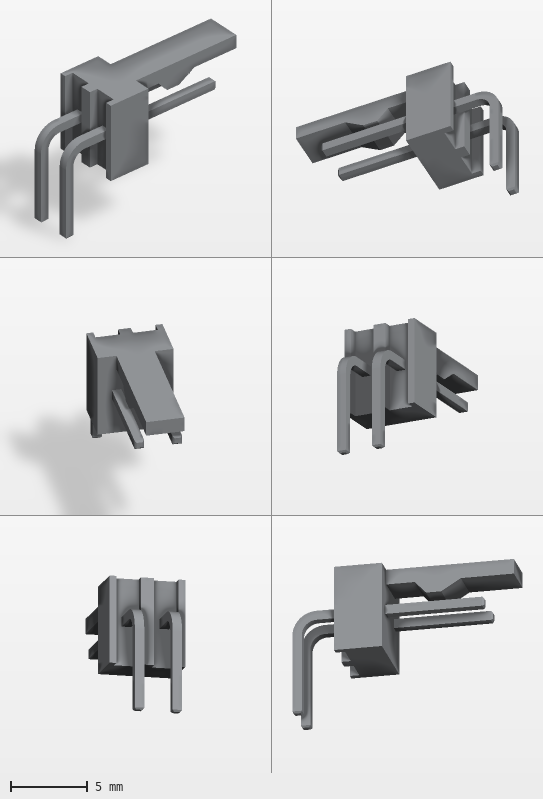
import cadquery as cq


pin_pitch = 2.54
pin_count = 2
pin_width = 0.63
pin_tip_chamfer = 0.12
contact_length = 6.6
pin_axis_height = 2.95
bend_outer_radius = 1.62
tail_drop = 3.79
tail_reach = 3.0

housing_width = 5.09
housing_depth = 3.2
housing_height = 5.85
groove_depth = 0.63
side_rib_width = 0.45
middle_rib_width = 0.85
groove_width = (housing_width - middle_rib_width) / 2 - side_rib_width
groove_offset = (middle_rib_width + groove_width) / 2

overall_length = 14.74
latch_length = overall_length - housing_depth - tail_reach
latch_width = 2.56
latch_thickness = 1.03
bump_drop = 0.81
bump_root_near = 1.9
bump_crest_near = 2.67
bump_crest_far = 3.67
bump_root_far = 4.98

groove_floor_y = groove_depth - housing_depth
pin_positions = [(i - (pin_count - 1) / 2) * pin_pitch for i in range(pin_count)]


def make_latch():
    """Latch arm with its locking bump, extruded evenly about X = 0."""
    underside = housing_height - latch_thickness
    crest = underside - bump_drop
    return (
        cq.Workplane("YZ")
        .moveTo(-groove_depth, housing_height)
        .lineTo(latch_length, housing_height)
        .lineTo(latch_length, underside)
        .lineTo(bump_root_far, underside)
        .lineTo(bump_crest_far, crest)
        .lineTo(bump_crest_near, crest)
        .lineTo(bump_root_near, underside)
        .lineTo(-groove_depth, underside)
        .close()
        .extrude(latch_width / 2, both=True)
    )


def make_housing():
    """Block with two full-height back grooves, one piece with the latch."""
    block = cq.Workplane("XY").box(
        housing_width, housing_depth, housing_height, centered=(True, False, False)
    ).translate((0, -housing_depth, 0))
    grooves = (
        cq.Workplane("XY")
        .pushPoints([(side * groove_offset, groove_floor_y - groove_depth / 2) for side in (-1, 1)])
        .rect(groove_width, groove_depth)
        .extrude(housing_height)
    )
    return block.cut(grooves).union(make_latch())


def make_contact(x):
    """Straight mating pin standing on the mating face."""
    return (
        cq.Workplane("XY")
        .box(pin_width, contact_length, pin_width, centered=(True, False, True))
        .faces(">Y")
        .edges()
        .chamfer(pin_tip_chamfer)
        .translate((x, 0, pin_axis_height))
    )


def make_tail(x):
    """Solder tail that leaves the groove floor and bends down."""
    outer_y = -housing_depth - tail_reach
    inner_y = outer_y + pin_width
    top_z = pin_axis_height + pin_width / 2
    lower_z = top_z - pin_width
    bend_y = outer_y + bend_outer_radius
    bend_z = top_z - bend_outer_radius
    bend_inner_radius = bend_outer_radius - pin_width
    return (
        cq.Workplane("YZ")
        .moveTo(groove_floor_y, top_z)
        .lineTo(bend_y, top_z)
        .radiusArc((outer_y, bend_z), -bend_outer_radius)
        .lineTo(outer_y, -tail_drop)
        .lineTo(inner_y, -tail_drop)
        .lineTo(inner_y, bend_z)
        .radiusArc((bend_y, lower_z), bend_inner_radius)
        .lineTo(groove_floor_y, lower_z)
        .close()
        .extrude(pin_width / 2, both=True)
        .faces("<Z")
        .edges()
        .chamfer(pin_tip_chamfer)
        .translate((x, 0, 0))
    )


housing = make_housing()
contacts = [make_contact(x) for x in pin_positions]
tails = [make_tail(x) for x in pin_positions]

result = cq.Compound.makeCompound(
    [housing.val()]
    + [contact.val() for contact in contacts]
    + [tail.val() for tail in tails]
)